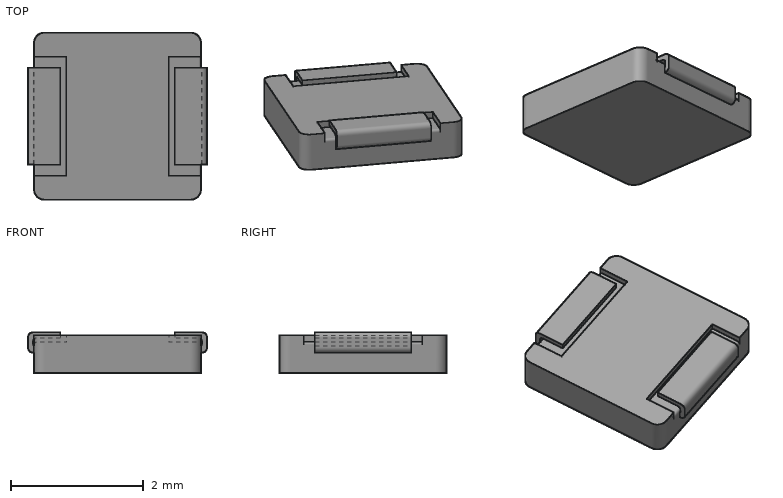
import cadquery as cq

body_side = 2.52
body_height = 0.572
corner_radius = 0.16

pocket_length = 0.49
pocket_width = 1.79
pocket_depth = 0.10
pocket_lip_radius = 0.04

overall_length = 2.70
overall_height = 0.617
terminal_length = 0.49
terminal_width = 1.46
terminal_height = 0.31
strip_thickness = 0.08
bend_outer_radius = 0.08
bend_inner_radius = 0.06
anchor_length = 0.30

body_face_x = -body_side / 2
pocket_floor_z = body_height - pocket_depth
terminal_outer_x = -overall_length / 2
terminal_bottom_z = overall_height - terminal_height


def make_body():
    block = cq.Workplane("XY").box(body_side, body_side, body_height, centered=(True, True, False))
    return block.edges("|Z").fillet(corner_radius)


def make_pocket():
    """Cutter for the -X pocket; its open end leaves a rounded lip on the floor."""
    lip_top_x = body_face_x + pocket_lip_radius
    lip_bottom_z = pocket_floor_z - pocket_lip_radius
    profile = (
        cq.Workplane("XZ")
        .moveTo(body_face_x, lip_bottom_z)
        .radiusArc((lip_top_x, pocket_floor_z), pocket_lip_radius)
        .lineTo(body_face_x + pocket_length, pocket_floor_z)
        .lineTo(body_face_x + pocket_length, body_height)
        .lineTo(body_face_x, body_height)
        .close()
    )
    return profile.extrude(pocket_width / 2, both=True)


def make_terminal():
    """The -X terminal: top leg, upright and embedded lower leg of one bent strip."""
    inner_x = terminal_outer_x + strip_thickness
    inner_top_z = overall_height - strip_thickness
    inner_bottom_z = terminal_bottom_z + strip_thickness
    top_end_x = terminal_outer_x + terminal_length
    anchor_end_x = terminal_outer_x + anchor_length
    profile = (
        cq.Workplane("XZ")
        .moveTo(top_end_x, overall_height)
        .lineTo(terminal_outer_x + bend_outer_radius, overall_height)
        .radiusArc((terminal_outer_x, overall_height - bend_outer_radius), -bend_outer_radius)
        .lineTo(terminal_outer_x, terminal_bottom_z + bend_outer_radius)
        .radiusArc((terminal_outer_x + bend_outer_radius, terminal_bottom_z), -bend_outer_radius)
        .lineTo(anchor_end_x, terminal_bottom_z)
        .lineTo(anchor_end_x, inner_bottom_z)
        .lineTo(inner_x + bend_inner_radius, inner_bottom_z)
        .radiusArc((inner_x, inner_bottom_z + bend_inner_radius), bend_inner_radius)
        .lineTo(inner_x, inner_top_z - bend_inner_radius)
        .radiusArc((inner_x + bend_inner_radius, inner_top_z), bend_inner_radius)
        .lineTo(top_end_x, inner_top_z)
        .close()
    )
    return profile.extrude(terminal_width / 2, both=True)


origin = (0, 0, 0)
z_axis_point = (0, 0, 1)
side_turns = (0, 180)

pocket = make_pocket()
terminal = make_terminal()

result = make_body()
for turn in side_turns:
    result = result.cut(pocket.rotate(origin, z_axis_point, turn))
    result = result.union(terminal.rotate(origin, z_axis_point, turn))